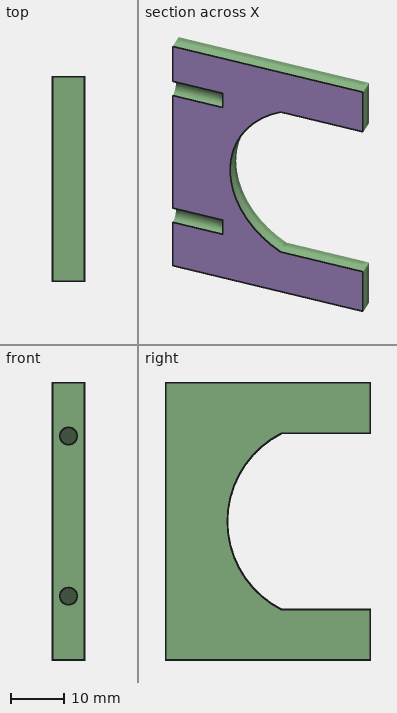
import cadquery as cq
import math

thickness = 6.0
depth = 38.37
height = 51.99
front_y = -depth / 2
back_y = depth / 2

mouth_height = 33.0
seat_radius = 18.5
web_depth = 11.6
seat_center_y = front_y + web_depth + seat_radius
seat_corner_y = seat_center_y - math.sqrt(seat_radius**2 - (mouth_height / 2) ** 2)

hole_diameter = 3.242
hole_depth = 10.0
hole_heights = (-14.0, 16.0)


def make_plate():
    return cq.Workplane("XY").box(thickness, depth, height)


def make_opening():
    half_mouth = mouth_height / 2
    return (
        cq.Workplane("YZ", origin=(-thickness / 2, 0, 0))
        .moveTo(back_y, -half_mouth)
        .lineTo(seat_corner_y, -half_mouth)
        .threePointArc((front_y + web_depth, 0), (seat_corner_y, half_mouth))
        .lineTo(back_y, half_mouth)
        .close()
        .extrude(thickness)
    )


def make_screw_hole(z):
    start = cq.Vector(0, front_y, z)
    return cq.Solid.makeCylinder(hole_diameter / 2, hole_depth, start, cq.Vector(0, 1, 0))


result = make_plate().cut(make_opening())
for hole_z in hole_heights:
    result = result.cut(make_screw_hole(hole_z))